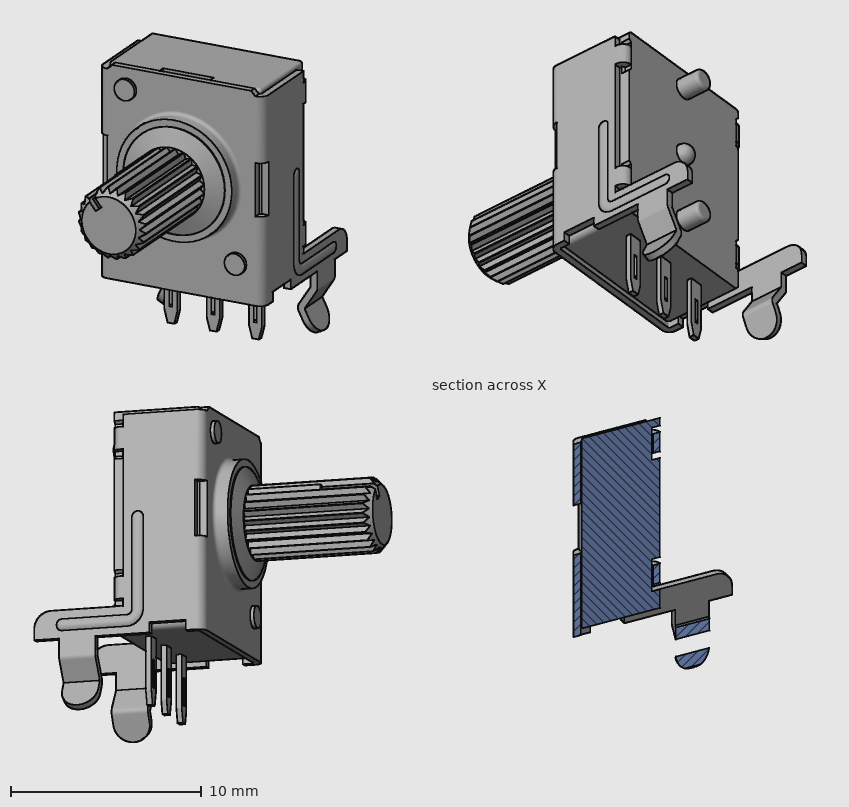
import cadquery as cq
import math


sheet = 0.4
shell_half_width = 4.9
shell_bottom = -6.51
flange_top = 5.25
top = 5.5
flange_rear = 4.47
bend_radius = 0.51
bend_inner_radius = bend_radius - sheet
inner_half_width = shell_half_width - sheet
bend_line_x = shell_half_width - bend_radius
plate_corner_chamfer = top - flange_top
bend_window_length = 3.0

arm_rear = 9.4
arm_top = -5.0
arm_corner_radius = 0.95

bottom_notch_front = 1.02
bottom_notch_length = 2.0
bottom_notch_height = 0.55

collar_diameter = 6.8
collar_bore = 6.0
collar_length = 0.8
collar_root_radius = 0.21

bead_height = 0.1
bead_radius = sheet + bead_height
bead_y = 3.68
bead_top_z = -0.28
bead_z = -5.79
bead_rear_y = 7.85
bead_turn_radius = 0.6

leg_width = 2.0
leg_y = 7.02
leg_bend_z = -7.52
leg_knee_x = 3.9
leg_knee_z = -8.73
leg_end_x = 4.66
leg_end_z = -10.2
leg_end_radius = 0.99

housing_rear = 5.1
housing_bottom = -6.28
housing_edge_radius = 0.18
housing_bottom_radius = 0.35
top_notch_length = bend_window_length
top_notch_depth = 0.4
top_notch_height = 0.53

peg_diameter = 1.2
peg_z = 4.31
front_pin_x = 3.25
front_pin_height = 0.21
front_pin_places = [(-front_pin_x, peg_z), (front_pin_x, -peg_z)]
rear_peg_length = 1.4
rear_peg_fillet = 0.2

tab_z = 4.0
tab_width = 1.2
pocket_width = 2.05
pocket_depth = 0.15
pocket_front_slope = bend_inner_radius
pocket_front = housing_rear - bend_radius
pocket_floor_x = inner_half_width - pocket_depth

shaft_diameter = 4.0
shaft_tip = -8.2
tip_chamfer = 0.4
shoulder_front = -0.85
cone_end = -1.2
groove_count = 24
groove_depth = 0.255
slot_angle = 127.5
slot_width = 0.42
slot_length = 3.01
slot_floor_radius = 1.62
end_notch_length = tip_chamfer
end_notch_radius = 1.0

terminal_pitch = 2.5
terminal_places = [-terminal_pitch, 0, terminal_pitch]
terminal_width = 0.81
terminal_thickness = 0.3
terminal_rear = 3.89
terminal_tip_z = -9.9
terminal_taper_z = -9.17
terminal_tip_width = 0.42
terminal_bevel_depth = 0.09
terminal_bevel_width = 0.02
rib_width = 0.2
rib_height = 0.05
rib_top = -7.48
rib_bottom = -8.98
rib_end_slope = 0.12


def box_between(x0, x1, y0, y1, z0, z1):
    return cq.Workplane("XY").box(x1 - x0, y1 - y0, z1 - z0, centered=False).translate((x0, y0, z0))


def cylinder_y(diameter, y0, y1, x=0, z=0):
    """Cylinder parallel to Y between two Y positions."""
    return cq.Workplane("XZ", origin=(x, y0, z)).circle(diameter / 2).extrude(y0 - y1)


def both_sides(body):
    """The body, made on the +X side, together with its mirror image."""
    return body.union(body.mirror("YZ"))


def make_walls():
    """Front plate and side walls, bent from one sheet, with the rearward arms."""
    walls = box_between(-shell_half_width, shell_half_width, 0, arm_rear, shell_bottom, flange_top)
    walls = walls.edges("|Z and <Y").fillet(bend_radius)
    inside = box_between(
        -inner_half_width, inner_half_width, sheet, arm_rear, shell_bottom, flange_top
    )
    walls = walls.cut(inside.edges("|Z and <Y").fillet(bend_inner_radius))
    above_arms = box_between(
        -shell_half_width, shell_half_width, flange_rear, arm_rear, arm_top, flange_top
    )
    walls = walls.cut(above_arms)
    arm_corners = cq.selectors.BoxSelector(
        (-shell_half_width, arm_rear - sheet, arm_top - sheet),
        (shell_half_width, arm_rear + sheet, arm_top + sheet),
    )
    return walls.edges("|X").edges(arm_corners).fillet(arm_corner_radius)


def make_top_lip():
    """Upper strip of the front plate, with chamfered corners."""
    lip = box_between(-bend_line_x, bend_line_x, 0, sheet, flange_top - sheet, top)
    return lip.edges("|Y and >Z").chamfer(plate_corner_chamfer)


def make_collar():
    """Drawn collar around the shaft, flaring into the plate."""
    root = collar_diameter / 2 + collar_root_radius
    flare_y = -collar_root_radius
    middle = collar_root_radius * (1 - math.sqrt(0.5))
    return (
        cq.Workplane("XY")
        .moveTo(collar_bore / 2, sheet)
        .lineTo(root, sheet)
        .lineTo(root, 0)
        .threePointArc((collar_diameter / 2 + middle, -middle), (collar_diameter / 2, flare_y))
        .lineTo(collar_diameter / 2, -collar_length)
        .lineTo(collar_bore / 2, -collar_length)
        .close()
        .revolve(360, (0, 0, 0), (0, 1, 0))
    )


def make_bead():
    """Round bead, vertical then turning rearward along the arm."""
    turn = bead_turn_radius
    middle = turn * (1 - math.sqrt(0.5))
    path = (
        cq.Workplane("YZ", origin=(inner_half_width, 0, 0))
        .moveTo(bead_y, bead_top_z)
        .lineTo(bead_y, bead_z + turn)
        .threePointArc((bead_y + middle, bead_z + middle), (bead_y + turn, bead_z))
        .lineTo(bead_rear_y, bead_z)
    )
    start = (inner_half_width, bead_y, bead_top_z)
    end = (inner_half_width, bead_rear_y, bead_z)
    bead = cq.Workplane("XY", origin=start).circle(bead_radius).sweep(path)
    for point in (start, end):
        bead = bead.union(cq.Workplane("XY", origin=point).sphere(bead_radius))
    outer_half = box_between(
        shell_half_width - sheet / 2, shell_half_width + sheet, 0, arm_rear, shell_bottom, flange_top
    )
    return bead.intersect(outer_half)


def make_leg():
    """Bent leg with a rounded end."""
    start_x = shell_half_width - sheet / 2
    path = cq.Workplane("XZ", origin=(0, leg_y, 0)).polyline(
        [
            (start_x, shell_bottom),
            (start_x, leg_bend_z),
            (leg_knee_x, leg_knee_z),
            (leg_end_x, leg_end_z),
        ]
    )
    leg = (
        cq.Workplane("XY", origin=(start_x, leg_y, shell_bottom))
        .rect(sheet, leg_width)
        .sweep(path, transition="right")
    )
    upper_bend = cq.selectors.NearestToPointSelector((shell_half_width, leg_y, leg_bend_z))
    leg = leg.edges("|Y").edges(upper_bend).fillet(sheet)
    leg = leg.edges("|Y and <X").fillet(sheet)
    across_sheet = cq.Vector(leg_knee_z - leg_end_z, 0, leg_end_x - leg_knee_x)
    end_corners = leg.faces("<Z").edges(cq.selectors.ParallelDirSelector(across_sheet))
    return end_corners.fillet(leg_end_radius)


def make_tab(z):
    """Tab bent inward behind the housing."""
    outer_shift = bend_radius * math.sqrt(0.5)
    inner_shift = bend_inner_radius * math.sqrt(0.5)
    outer_mid = (bend_line_x + outer_shift, pocket_front + outer_shift)
    inner_mid = (bend_line_x + inner_shift, pocket_front + inner_shift)
    return (
        cq.Workplane("XY", origin=(0, 0, z - tab_width / 2))
        .moveTo(inner_half_width, flange_rear)
        .lineTo(shell_half_width, flange_rear)
        .lineTo(shell_half_width, pocket_front)
        .threePointArc(outer_mid, (bend_line_x, housing_rear))
        .lineTo(pocket_floor_x, housing_rear)
        .lineTo(pocket_floor_x, housing_rear - sheet)
        .lineTo(bend_line_x, housing_rear - sheet)
        .threePointArc(inner_mid, (inner_half_width, pocket_front))
        .close()
        .extrude(tab_width)
    )


def make_shell():
    half_window = bend_window_length / 2
    shell = make_walls().union(make_top_lip()).union(make_collar())
    side = make_bead().union(make_leg())
    for z in (-tab_z, tab_z):
        side = side.union(make_tab(z))
    shell = shell.union(both_sides(side))
    window = box_between(bend_line_x, shell_half_width, 0, bend_radius, -half_window, half_window)
    notch = box_between(
        inner_half_width,
        shell_half_width,
        bottom_notch_front,
        bottom_notch_front + bottom_notch_length,
        shell_bottom,
        shell_bottom + bottom_notch_height,
    )
    shell = shell.cut(both_sides(window)).cut(both_sides(notch))
    shell = shell.cut(cylinder_y(collar_bore, -collar_length, sheet))
    for x, z in front_pin_places:
        shell = shell.cut(cylinder_y(peg_diameter, 0, sheet, x, z))
    return shell


def make_tab_pocket(z):
    """Pocket with sloping walls in the rear corner of the housing."""
    half_width = pocket_width / 2
    half_floor = half_width - pocket_depth
    floor_front = pocket_front + pocket_front_slope
    return (
        cq.Workplane("YZ", origin=(inner_half_width, 0, z))
        .polyline(
            [
                (pocket_front, -half_width),
                (housing_rear, -half_width),
                (housing_rear, half_width),
                (pocket_front, half_width),
            ]
        )
        .close()
        .workplane(offset=-pocket_depth)
        .polyline(
            [
                (floor_front, -half_floor),
                (housing_rear, -half_floor),
                (housing_rear, half_floor),
                (floor_front, half_floor),
            ]
        )
        .close()
        .loft(ruled=True)
    )


def make_housing():
    body = box_between(
        -inner_half_width, inner_half_width, sheet, housing_rear, housing_bottom, top
    )
    body = body.edges("|Y and <Z").fillet(housing_bottom_radius)
    body = body.edges("(|Y and >Z) or (|X and >Z and <Y) or (|Z and <Y)").fillet(housing_edge_radius)
    half_notch = top_notch_length / 2
    body = body.cut(
        box_between(
            -half_notch, half_notch, sheet, sheet + top_notch_depth, top - top_notch_height, top
        )
    )
    for z in (-tab_z, tab_z):
        body = body.cut(both_sides(make_tab_pocket(z)))
    for x, z in front_pin_places:
        body = body.union(cylinder_y(peg_diameter, -front_pin_height, sheet, x, z))
    for z in (-peg_z, peg_z):
        peg = cylinder_y(peg_diameter, housing_rear, housing_rear + rear_peg_length, 0, z)
        body = body.union(peg.faces(">Y").edges().fillet(rear_peg_fillet))
    dome = cq.Workplane("XY", origin=(0, housing_rear, 0)).sphere(peg_diameter / 2)
    return body.union(dome)


def make_shaft():
    radius = shaft_diameter / 2
    shaft = (
        cq.Workplane("XY")
        .polyline(
            [
                (0, sheet),
                (collar_bore / 2, sheet),
                (collar_bore / 2, shoulder_front),
                (radius, cone_end),
                (radius, shaft_tip + tip_chamfer),
                (radius - tip_chamfer, shaft_tip),
                (0, shaft_tip),
            ]
        )
        .close()
        .revolve(360, (0, 0, 0), (0, 1, 0))
    )
    return shaft.cut(make_grooves()).cut(make_slot())


def make_grooves():
    """Ring of V grooves along the shaft."""
    bottom_radius = shaft_diameter / 2 - groove_depth
    half_opening = 2 * groove_depth
    groove = (
        cq.Workplane("XZ", origin=(0, cone_end, 0))
        .polyline(
            [
                (bottom_radius, 0),
                (bottom_radius + half_opening, half_opening),
                (bottom_radius + half_opening, -half_opening),
            ]
        )
        .close()
        .extrude(cone_end - shaft_tip)
    )
    pitch_angle = 360 / groove_count
    grooves = [
        groove.rotate((0, 0, 0), (0, 1, 0), index * pitch_angle).val() for index in range(groove_count)
    ]
    return cq.Workplane(cq.Compound.makeCompound(grooves))


def make_slot():
    """Index slot at the shaft tip, with a round floor and a deeper notch at the end."""
    half_width = slot_width / 2
    slot_end = shaft_tip + slot_length
    slot = box_between(0, shaft_diameter, shaft_tip, slot_end, -half_width, half_width)
    slot = slot.cut(cylinder_y(2 * slot_floor_radius, shaft_tip, slot_end))
    end_notch = box_between(
        end_notch_radius,
        shaft_diameter,
        shaft_tip,
        shaft_tip + end_notch_length,
        -half_width,
        half_width,
    )
    return slot.union(end_notch).rotate((0, 0, 0), (0, 1, 0), -slot_angle)


def make_rib(base_y):
    """Pressed rib with sloping ends, rising toward +Y from the base."""
    radius = ((rib_width / 2) ** 2 + rib_height**2) / (2 * rib_height)
    rib = (
        cq.Workplane("YZ", origin=(-rib_width / 2, 0, 0))
        .polyline(
            [
                (base_y, rib_top),
                (base_y + rib_height, rib_top - rib_end_slope),
                (base_y + rib_height, rib_bottom + rib_end_slope),
                (base_y, rib_bottom),
            ]
        )
        .close()
        .extrude(rib_width)
    )
    round_bar = (
        cq.Workplane("XY", origin=(0, base_y + rib_height - radius, rib_bottom))
        .circle(radius)
        .extrude(rib_top - rib_bottom)
    )
    return rib.intersect(round_bar)


def make_terminal(x):
    """Flat pin with a tapered tip and a pressed rib."""
    front = terminal_rear - terminal_thickness
    half_width = terminal_width / 2
    half_tip = terminal_tip_width / 2
    pin = (
        cq.Workplane("XZ", origin=(0, terminal_rear, 0))
        .polyline(
            [
                (-half_width, housing_bottom),
                (half_width, housing_bottom),
                (half_width, terminal_taper_z),
                (half_tip, terminal_tip_z),
                (-half_tip, terminal_tip_z),
                (-half_width, terminal_taper_z),
            ]
        )
        .close()
        .extrude(terminal_thickness)
    )
    long_edges = pin.faces("<Y").edges("not |X")
    pin = long_edges.chamfer(terminal_bevel_depth, terminal_bevel_width)
    pin = pin.union(make_rib(terminal_rear)).cut(make_rib(front))
    return pin.translate((x, 0, 0))


shell = make_shell()
housing = make_housing()
shaft = make_shaft()
terminals = [make_terminal(x) for x in terminal_places]

result = cq.Compound.makeCompound(
    [shell.val(), housing.val(), shaft.val(), *[terminal.val() for terminal in terminals]]
)